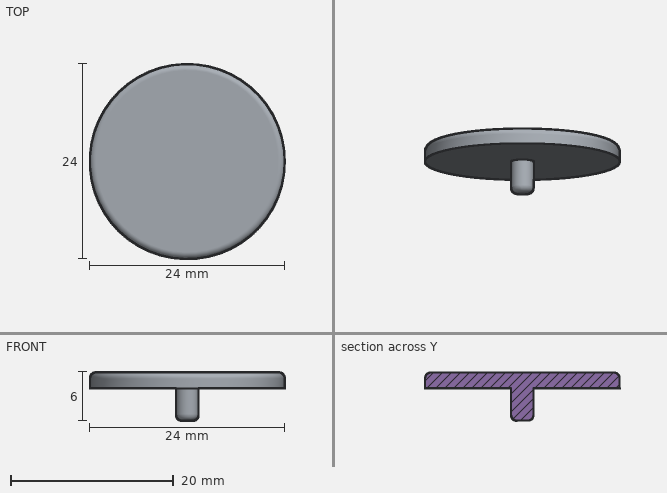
import cadquery as cq

disc_diameter = 24
total_height = 6
disc_thickness = total_height / 3
disc_edge_radius = 0.8
pin_diameter = 2.8
pin_tip_radius = 0.75
pin_length = total_height - disc_thickness


def make_disc():
    """Flat disc on the XY plane with a rounded upper rim."""
    disc = cq.Workplane("XY").circle(disc_diameter / 2).extrude(disc_thickness)
    return disc.faces(">Z").edges().fillet(disc_edge_radius)


def make_pin():
    """Central pin hanging below the disc with a rounded tip."""
    pin = cq.Workplane("XY").circle(pin_diameter / 2).extrude(-pin_length)
    return pin.faces("<Z").edges().fillet(pin_tip_radius)


result = make_disc().union(make_pin())